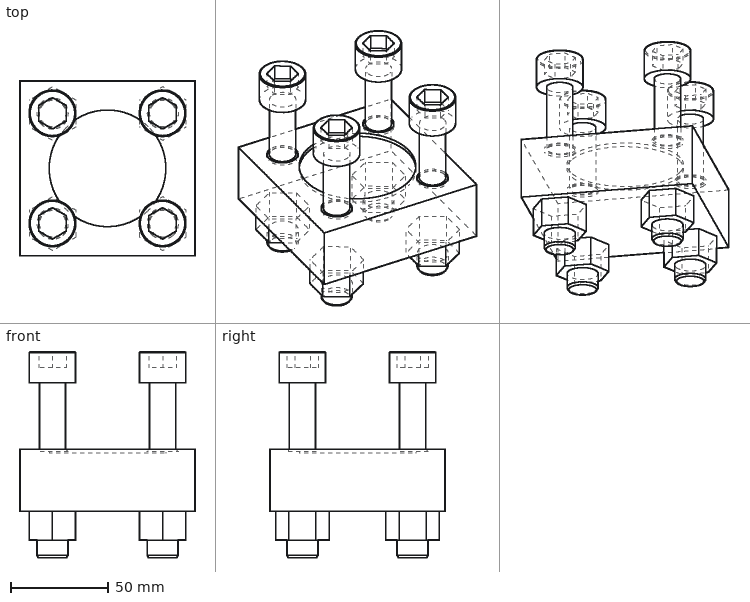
import cadquery as cq
import math

total_height = 106.0

plate_side = 90.0
plate_thickness = 32.0
recess_diameter = 60.0
recess_depth = 2.0

bolt_spacing = 56.6
thread_diameter = 16.0
shank_diameter = 13.6
thread_runout = (thread_diameter - shank_diameter) / 2
tip_length = 9.1
tip_chamfer_height = 1.3
tip_chamfer_width = 0.8
head_diameter = 24.0
head_height = thread_diameter
head_chamfer = 0.5
socket_across_flats = 14.0
socket_depth = head_height / 2

nut_across_flats = head_diameter
nut_height = 14.8

plate_bottom = tip_length + nut_height
plate_top = plate_bottom + plate_thickness
thread_top = plate_top - thread_runout
head_bottom = total_height - head_height


def hexagon(across_flats, height, bottom):
    """Hexagonal prism on the Z axis with two corners on the Y axis."""
    across_corners = across_flats / math.cos(math.pi / 6)
    prism = cq.Workplane("XY").polygon(6, across_corners).extrude(height)
    return prism.rotate((0, 0, 0), (0, 0, 1), 90).translate((0, 0, bottom))


def make_plate():
    """Square plate with the central recess and the four bolt holes."""
    plate = (
        cq.Workplane("XY", origin=(0, 0, plate_bottom))
        .rect(plate_side, plate_side)
        .extrude(plate_thickness)
    )
    plate = plate.faces(">Z").workplane().hole(recess_diameter, recess_depth)
    bolt_centers = (
        plate.faces(">Z").workplane()
        .rect(bolt_spacing, bolt_spacing, forConstruction=True)
        .vertices()
    )
    return bolt_centers.hole(thread_diameter)


def make_bolt_and_nut():
    """Bolt on the Z axis, revolved from its half profile, with its nut."""
    thread_radius = thread_diameter / 2
    shank_radius = shank_diameter / 2
    head_radius = head_diameter / 2
    half_profile = [
        (0, 0),
        (thread_radius - tip_chamfer_width, 0),
        (thread_radius, tip_chamfer_height),
        (thread_radius, thread_top),
        (shank_radius, plate_top),
        (shank_radius, head_bottom),
        (head_radius, head_bottom),
        (head_radius, total_height - head_chamfer),
        (head_radius - head_chamfer, total_height),
        (0, total_height),
    ]
    bolt = cq.Workplane("XZ").polyline(half_profile).close().revolve(360, (0, 0, 0), (0, 1, 0))
    bolt = bolt.cut(hexagon(socket_across_flats, socket_depth, total_height - socket_depth))
    return bolt.union(hexagon(nut_across_flats, nut_height, tip_length))


result = make_plate()
bolt_and_nut = make_bolt_and_nut()
for x_side in (-1, 1):
    for y_side in (-1, 1):
        position = (x_side * bolt_spacing / 2, y_side * bolt_spacing / 2, 0)
        result = result.union(bolt_and_nut.translate(position))